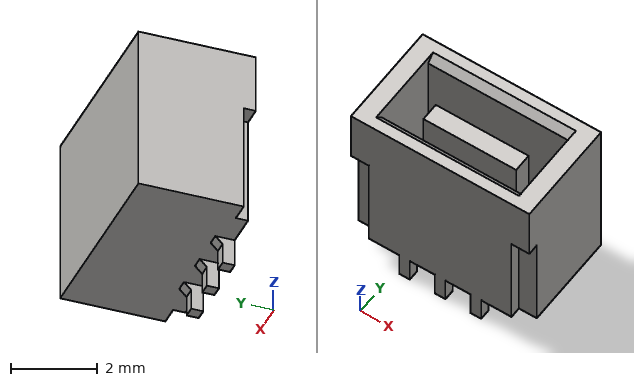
import cadquery as cq

length = 5.0
width = 2.9
body_height = 4.25

end_wall = 0.5
side_wall = 0.3
socket_depth = 3.25
lead_in_width = 0.2
lead_in_depth = 0.2

tongue_length = 2.6
tongue_width = 0.5
tongue_recess = 0.5

notch_length = 0.5
notch_depth = 0.3
notch_height = 2.75

pin_count = 3
pin_pitch = 1.0
pin_size = 0.3
pin_length = 0.7
gusset_size = 0.18

front_y = -width / 2
socket_length = length - 2 * end_wall
socket_half_width = width / 2 - side_wall
socket_floor = body_height - socket_depth


def block(size_x, size_y, z_bottom, z_top):
    """Box centred on the Z axis between two heights."""
    return cq.Workplane("XY").workplane(offset=z_bottom).rect(size_x, size_y).extrude(z_top - z_bottom)


def extrude_along_x(profile, size_x, center_x=0.0):
    """Closed (y, z) profile extruded symmetrically about center_x."""
    solid = cq.Workplane("YZ").polyline(profile).close().extrude(size_x / 2, both=True)
    return solid.translate((center_x, 0, 0))


def socket():
    """Rectangular cavity whose two long sides flare at the mouth."""
    throat = socket_half_width - lead_in_width
    lead_in_z = body_height - lead_in_depth
    profile = [
        (-throat, socket_floor),
        (throat, socket_floor),
        (throat, lead_in_z),
        (socket_half_width, body_height),
        (-socket_half_width, body_height),
        (-throat, lead_in_z),
    ]
    return extrude_along_x(profile, socket_length)


def notch(side):
    """Corner cutter, with side -1 or 1 choosing the end of the housing."""
    center_x = side * (length - notch_length) / 2
    center_y = front_y + notch_depth / 2
    return block(notch_length, notch_depth, 0, notch_height).translate((center_x, center_y, 0))


def pin(center_x):
    """Square pin flush with the front face, with a small gusset behind its root."""
    back_y = front_y + pin_size
    profile = [
        (front_y, 0),
        (front_y, -pin_length),
        (back_y, -pin_length),
        (back_y, -gusset_size),
        (back_y + gusset_size, 0),
    ]
    return extrude_along_x(profile, pin_size, center_x)


result = block(length, width, 0, body_height).cut(socket())
result = result.union(block(tongue_length, tongue_width, socket_floor, body_height - tongue_recess))

for side in (-1, 1):
    result = result.cut(notch(side))

for index in range(pin_count):
    result = result.union(pin((index - (pin_count - 1) / 2) * pin_pitch))